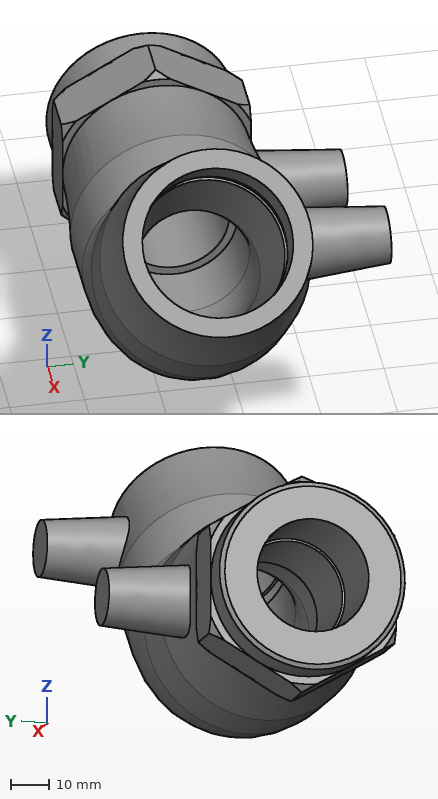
import cadquery as cq
import math

bend_angle = 45.0
bend_radius = 21.3
pivot_clearance = 0.01
body_radius = 56.0 / 2
end_radius = 50.4 / 2
taper_length = 26.7
straight_length = 17.3
leg_length = taper_length + straight_length
taper_arc_bulge = 0.4

collar_length = 9.7
collar_chamfer_length = 0.7
collar_face_radius = 24.0
hex_width = 15.3
hex_flats = 50.4
hex_corners = hex_flats / math.cos(math.radians(30))
hex_face_diameter = 54.5
hex_chamfer = 2.0

inlet_bore_radius = 29.0 / 2
inlet_mouth_radius = 30.3 / 2
bend_bore_radius = 16.8
socket_radius = 40.0 / 2
groove_radius = 20.7
groove_start = 12.1
socket_depth = 17.4

stud_tip_y = 75.0 - body_radius
stud_tip_radius = 7.6
stud_base_radius = 9.3
stud_taper_length = 19.3
stud_inset = 14.8

nut_end = collar_length + hex_width
bend_start = nut_end + leg_length
outlet_direction = cq.Vector(
    math.cos(math.radians(bend_angle)), 0, math.sin(math.radians(bend_angle))
)
bend_end = cq.Vector(
    bend_start + bend_radius * outlet_direction.z,
    0,
    bend_radius * (1 - outlet_direction.x),
)
X_DIRECTION = cq.Vector(1, 0, 0)


def round_bar(radius, length, start, direction):
    return cq.Workplane(cq.Solid.makeCylinder(radius, length, start, direction))


def cone(start_radius, end_radius, length, start, direction):
    return cq.Workplane(cq.Solid.makeCone(start_radius, end_radius, length, start, direction))


def leg(start, direction):
    """Solid leg with its large end at start, narrowing along a concave arc."""
    middle = ((body_radius + end_radius) / 2 - taper_arc_bulge, straight_length + taper_length / 2)
    plane = cq.Plane(origin=start, xDir=(0, 1, 0), normal=cq.Vector(0, 1, 0).cross(direction))
    return (
        cq.Workplane(plane)
        .lineTo(body_radius, 0)
        .lineTo(body_radius, straight_length)
        .threePointArc(middle, (end_radius, leg_length))
        .lineTo(0, leg_length)
        .close()
        .revolve(360, (0, 0), (0, 1))
    )


def bend(radius):
    """Curved bar; the part of its section at or beyond the pivot line is left out."""
    path = cq.Workplane("XZ").moveTo(bend_start, 0).radiusArc((bend_end.x, bend_end.z), -bend_radius)
    section = cq.Workplane("YZ", origin=(bend_start, 0, 0))
    top = bend_radius - pivot_clearance
    if radius > top:
        half_width = math.sqrt(radius**2 - top**2)
        section = section.moveTo(-half_width, top).threePointArc((0, -radius), (half_width, top)).close()
    else:
        section = section.circle(radius)
    return section.sweep(path)


def hexagon_nut():
    prism = cq.Workplane("YZ", origin=(collar_length, 0, 0)).polygon(6, hex_corners).extrude(hex_width)
    prism = prism.rotate((0, 0, 0), (1, 0, 0), 90)
    face_radius = hex_face_diameter / 2
    corner_radius = hex_corners / 2
    envelope = (
        cq.Workplane("XY")
        .moveTo(collar_length, 0)
        .lineTo(collar_length, face_radius)
        .lineTo(collar_length + hex_chamfer, corner_radius)
        .lineTo(nut_end - hex_chamfer, corner_radius)
        .lineTo(nut_end, face_radius)
        .lineTo(nut_end, 0)
        .close()
        .revolve(360, (0, 0), (1, 0))
    )
    return prism.intersect(envelope)


def collar():
    chamfered_rim = cone(
        collar_face_radius, end_radius, collar_chamfer_length, cq.Vector(0, 0, 0), X_DIRECTION
    )
    bar_start = cq.Vector(collar_chamfer_length, 0, 0)
    bar = round_bar(end_radius, nut_end - collar_chamfer_length, bar_start, X_DIRECTION)
    return chamfered_rim.union(bar)


def stud(axis_point):
    """Tapered stud from the leg axis towards +Y, leaving its base inside the wall."""
    slope = (stud_base_radius - stud_tip_radius) / stud_taper_length
    inner_y = end_radius - 4
    length = stud_tip_y - inner_y
    start = axis_point + cq.Vector(0, inner_y, 0)
    return cone(stud_tip_radius + slope * length, stud_tip_radius, length, start, cq.Vector(0, 1, 0))


def passage():
    """Stepped inlet bore, curved bore, widening outlet bore and grooved socket."""
    taper_end = nut_end + taper_length
    outlet_face = bend_end + outlet_direction * leg_length
    groove_length = socket_depth - groove_start
    return [
        round_bar(inlet_bore_radius, bend_start, cq.Vector(0, 0, 0), X_DIRECTION),
        round_bar(inlet_mouth_radius, nut_end, cq.Vector(0, 0, 0), X_DIRECTION),
        round_bar(bend_bore_radius, straight_length, cq.Vector(taper_end, 0, 0), X_DIRECTION),
        bend(bend_bore_radius),
        cone(bend_bore_radius, socket_radius, leg_length - socket_depth, bend_end, outlet_direction),
        round_bar(socket_radius, socket_depth, outlet_face, outlet_direction * -1),
        round_bar(
            groove_radius, groove_length, outlet_face - outlet_direction * groove_start, outlet_direction * -1
        ),
    ]


inlet_leg = leg(cq.Vector(bend_start, 0, 0), X_DIRECTION * -1)
outlet_leg = leg(bend_end, outlet_direction)
stud_distance = leg_length - stud_inset

result = inlet_leg.union(bend(body_radius)).union(outlet_leg)
result = result.union(collar()).union(hexagon_nut())
result = result.union(stud(cq.Vector(bend_start - stud_distance, 0, 0)))
result = result.union(stud(bend_end + outlet_direction * stud_distance))
for bore in passage():
    result = result.cut(bore)